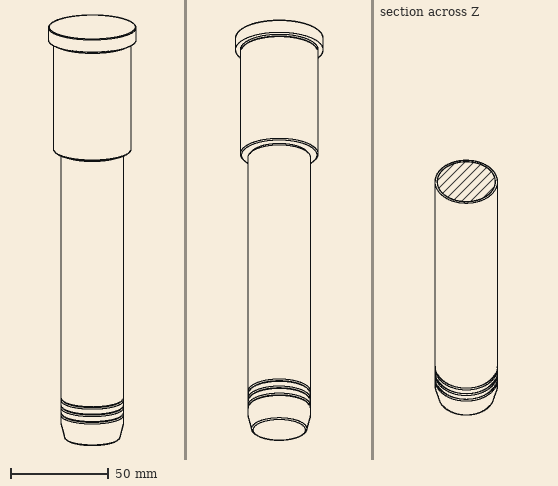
import cadquery as cq

total_length = 220.0
head_diameter = 45.0
head_height = 7.0
head_chamfer = 0.5

collar_diameter = 40.0
collar_bottom = 154.0
collar_chamfer = 0.7

shank_diameter = 32.1
tip_height = 8.0
tip_diameter = 28.2
tip_chamfer = 0.7

head_relief_half_width = 0.7
collar_relief_width = 1.3
collar_relief_depth = 1.0

ring_count = 3
ring_pitch = 4.0
ring_half_width = 0.7
lowest_ring = 13.0


def cylinder(diameter, bottom, top):
    """Solid cylinder on the Z axis between two heights."""
    return cq.Workplane("XY").workplane(offset=bottom).circle(diameter / 2).extrude(top - bottom)


def square_groove(diameter, depth, bottom, width):
    """Ring to cut from a cylinder of the given diameter."""
    outer = cylinder(diameter + 2 * depth, bottom, bottom + width)
    core = cylinder(diameter - 2 * depth, bottom, bottom + width)
    return outer.cut(core)


def vee_groove(diameter, half_width, height):
    """Ring with a right-angled point on its inside, to cut a V from a cylinder of the given diameter."""
    radius = diameter / 2
    profile = (
        cq.Workplane("XZ")
        .moveTo(radius - half_width, height)
        .lineTo(radius, height + half_width)
        .lineTo(radius + half_width, height)
        .lineTo(radius, height - half_width)
        .close()
    )
    return profile.revolve(360, (0, 0, 0), (0, 1, 0))


def make_head():
    head = cylinder(head_diameter, total_length - head_height, total_length)
    return head.faces(">Z").chamfer(head_chamfer)


def make_collar():
    collar_top = total_length - head_height
    collar = cylinder(collar_diameter, collar_bottom, collar_top)
    collar = collar.faces("<Z").chamfer(collar_chamfer)
    relief_height = collar_top - head_relief_half_width
    return collar.cut(vee_groove(collar_diameter, head_relief_half_width, relief_height))


def make_shank():
    shank = cylinder(shank_diameter, tip_height, collar_bottom)
    relief_bottom = collar_bottom - collar_relief_width
    shank = shank.cut(square_groove(shank_diameter, collar_relief_depth, relief_bottom, collar_relief_width))
    for index in range(ring_count):
        ring_height = lowest_ring + index * ring_pitch
        shank = shank.cut(vee_groove(shank_diameter, ring_half_width, ring_height))
    return shank


def make_tip():
    tip = (
        cq.Workplane("XY")
        .circle(tip_diameter / 2)
        .workplane(offset=tip_height)
        .circle(shank_diameter / 2)
        .loft()
    )
    return tip.faces("<Z").chamfer(tip_chamfer)


result = make_head().union(make_collar()).union(make_shank()).union(make_tip())